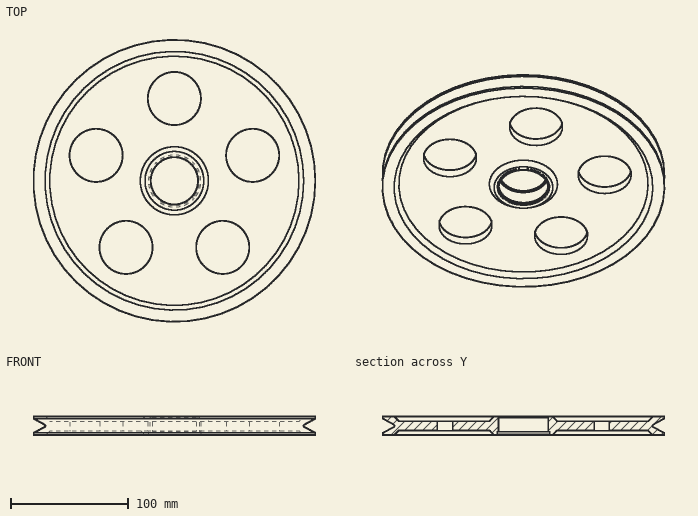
import cadquery as cq
import math

outer_diameter = 240.0
rim_width = 16.0
lip_width = 2.0
groove_root_diameter = 220.0
groove_root_radius = 1.0

recess_depth = 4.0
recess_mouth_diameter = 220.0
hub_face_diameter = 50.0
wall_angle = 45.0

shoulder_diameter = 40.0
shoulder_thickness = 1.2
seat_diameter = 42.0
bearing_width = 12.0
ring_groove_diameter = 44.5
ring_groove_width = 1.85

hole_count = 5
hole_diameter = 45.0
hole_circle_diameter = 140.0
first_hole_angle = 90.0

half_width = rim_width / 2
wall_run = recess_depth * math.tan(math.radians(wall_angle))
seat_top = half_width - shoulder_thickness
ring_groove_top = seat_top - bearing_width


def cylinder(diameter, bottom, top):
    """Cylinder on the Z axis between two heights."""
    return cq.Workplane("XY", origin=(0, 0, bottom)).circle(diameter / 2).extrude(top - bottom)


def rim_groove():
    """Ring with a V section and a tangent rounded root, cut into the outside of the rim."""
    rim_radius = outer_diameter / 2
    mouth_half = half_width - lip_width
    root_bottom = groove_root_diameter / 2
    arc_center = root_bottom + groove_root_radius
    mouth_depth = rim_radius - arc_center
    mouth_distance = math.hypot(mouth_depth, mouth_half)
    half_angle = math.atan2(mouth_half, mouth_depth) - math.asin(groove_root_radius / mouth_distance)
    tangent_radius = arc_center - groove_root_radius * math.sin(half_angle)
    tangent_half = groove_root_radius * math.cos(half_angle)
    return (
        cq.Workplane("XZ")
        .moveTo(rim_radius, -mouth_half)
        .lineTo(tangent_radius, -tangent_half)
        .threePointArc((root_bottom, 0), (tangent_radius, tangent_half))
        .lineTo(rim_radius, mouth_half)
        .close()
        .revolve(360, (0, 0), (0, 1))
    )


def face_recess():
    """Annular recess with sloped walls between the hub and the rim, in the +Z face."""
    hub_radius = hub_face_diameter / 2
    mouth_radius = recess_mouth_diameter / 2
    floor_z = half_width - recess_depth
    section = [
        (hub_radius, half_width),
        (hub_radius + wall_run, floor_z),
        (mouth_radius - wall_run, floor_z),
        (mouth_radius, half_width),
    ]
    return cq.Workplane("XZ").polyline(section).close().revolve(360, (0, 0), (0, 1))


def bearing_bore():
    """Stepped bore: shoulder opening, bearing seat and retaining ring groove."""
    opening = cylinder(shoulder_diameter, -half_width, half_width)
    seat = cylinder(seat_diameter, -half_width, seat_top)
    ring_groove = cylinder(ring_groove_diameter, ring_groove_top - ring_groove_width, ring_groove_top)
    return opening.union(seat).union(ring_groove)


def lightening_holes():
    return (
        cq.Workplane("XY", origin=(0, 0, -half_width))
        .polarArray(hole_circle_diameter / 2, first_hole_angle, 360, hole_count)
        .circle(hole_diameter / 2)
        .extrude(rim_width)
    )


upper_recess = face_recess()
lower_recess = upper_recess.mirror("XY")

result = (
    cylinder(outer_diameter, -half_width, half_width)
    .cut(rim_groove())
    .cut(upper_recess)
    .cut(lower_recess)
    .cut(lightening_holes())
    .cut(bearing_bore())
)